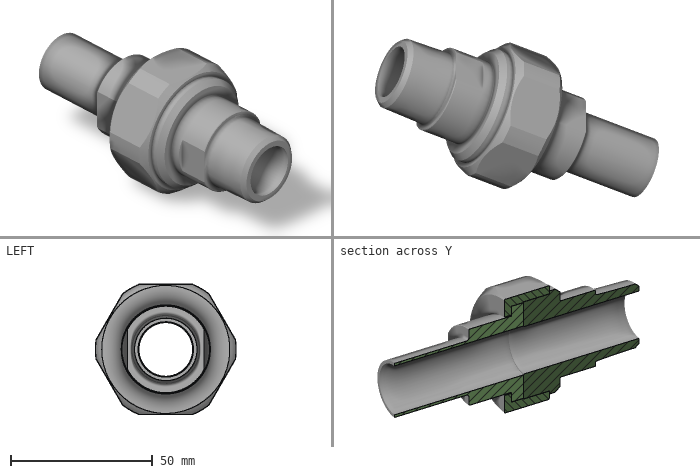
import cadquery as cq
import math


tail_shoulder_x = 31.1
tail_flat_end_x = 42.9
nut_start_x = 45.9
nut_end_x = 65.0
flange_chamfer_x = 67.3
flange_end_x = 69.5
adapter_flat_start_x = 73.5
adapter_shoulder_x = 84.3
thread_chamfer_x = 100.9
overall_length = 102.5

tube_radius = 22.0 / 2
tail_bore_radius = 19.6 / 2
hub_radius = 31.0 / 2
tail_flats = 27.0
tail_fillet = 0.9
edge_chamfer = 0.2

nut_flats = 46.0
nut_corner_radius = 49.7 / 2
nut_face_radius = 45.2 / 2
nut_chamfer = nut_corner_radius - nut_face_radius
nut_hole_radius = 31.5 / 2
nut_cavity_radius = 39.0 / 2
nut_lip = 3.1
cavity_start_x = nut_start_x + nut_lip

joint_x = cavity_start_x + 5.1
adapter_bore_radius = 19.0 / 2
flange_radius = 41.8 / 2
flange_face_radius = 38.0 / 2
flange_fillet = 0.3
adapter_flats = 28.1
adapter_flat_ramp = 0.4
shoulder_fillet = 0.7
thread_start_radius = 26.9 / 2
thread_end_radius = 25.9 / 2
thread_tip_radius = 23.2 / 2


def revolve_about_x(profile):
    """Turn a closed (x, radius) profile about the X axis."""
    return profile.close().revolve(360, (0, 0, 0), (1, 0, 0))


def cylinder(start_x, end_x, radius):
    return cq.Workplane("YZ").workplane(offset=start_x).circle(radius).extrude(end_x - start_x)


def concave_middle(center_x, center_radius, fillet, direction):
    """Middle point of a concave fillet arc; direction is +1 or -1 for the side of the wall along X."""
    reach = fillet * math.cos(math.pi / 4)
    return (center_x + direction * reach, center_radius - reach)


def cut_wrench_flats(body, start_x, end_x, start_flats, end_flats):
    """Cut two opposite Y faces; the across-flats width may change from start to end."""
    outside = 2 * hub_radius
    for side in (1, -1):
        cutter = (
            cq.Workplane("XY").workplane(offset=-outside)
            .moveTo(start_x, side * start_flats / 2)
            .lineTo(end_x, side * end_flats / 2)
            .lineTo(end_x, side * outside)
            .lineTo(start_x, side * outside)
            .close()
            .extrude(2 * outside)
        )
        body = body.cut(cutter)
    return body


def make_tail():
    fillet_x = tail_shoulder_x - tail_fillet
    fillet_top = tube_radius + tail_fillet
    profile = (
        cq.Workplane("XY")
        .moveTo(0, tail_bore_radius)
        .lineTo(0, tube_radius)
        .lineTo(fillet_x, tube_radius)
        .threePointArc(
            concave_middle(fillet_x, fillet_top, tail_fillet, 1),
            (tail_shoulder_x, fillet_top),
        )
        .lineTo(tail_shoulder_x, hub_radius - edge_chamfer)
        .lineTo(tail_shoulder_x + edge_chamfer, hub_radius)
        .lineTo(cavity_start_x, hub_radius)
        .lineTo(cavity_start_x, nut_cavity_radius)
        .lineTo(joint_x, nut_cavity_radius)
        .lineTo(joint_x, tail_bore_radius)
    )
    tail = revolve_about_x(profile)
    tail = cut_wrench_flats(tail, tail_shoulder_x, tail_flat_end_x, tail_flats, tail_flats)
    runout_x = tail_flat_end_x + hub_radius - tail_flats / 2
    return cut_wrench_flats(tail, tail_flat_end_x, runout_x, tail_flats, 2 * hub_radius)


def make_nut():
    hexagon = (
        cq.Workplane("YZ").workplane(offset=nut_start_x)
        .polygon(6, nut_flats / math.cos(math.pi / 6))
        .extrude(nut_end_x - nut_start_x)
    )
    envelope = cylinder(nut_start_x, nut_end_x, nut_corner_radius).edges().chamfer(nut_chamfer)
    lip_hole = cylinder(nut_start_x, cavity_start_x, nut_hole_radius)
    cavity = cylinder(cavity_start_x, nut_end_x, nut_cavity_radius)
    return hexagon.intersect(envelope).cut(lip_hole).cut(cavity)


def make_adapter():
    flange_fillet_x = flange_end_x + flange_fillet
    flange_fillet_top = hub_radius + flange_fillet
    thread_start_x = adapter_shoulder_x + shoulder_fillet
    shoulder_fillet_top = thread_start_radius + shoulder_fillet
    profile = (
        cq.Workplane("XY")
        .moveTo(joint_x, adapter_bore_radius)
        .lineTo(joint_x, nut_cavity_radius)
        .lineTo(nut_end_x, nut_cavity_radius)
        .lineTo(nut_end_x, flange_radius)
        .lineTo(flange_chamfer_x, flange_radius)
        .lineTo(flange_end_x, flange_face_radius)
        .lineTo(flange_end_x, flange_fillet_top)
        .threePointArc(
            concave_middle(flange_fillet_x, flange_fillet_top, flange_fillet, -1),
            (flange_fillet_x, hub_radius),
        )
        .lineTo(adapter_shoulder_x - edge_chamfer, hub_radius)
        .lineTo(adapter_shoulder_x, hub_radius - edge_chamfer)
        .lineTo(adapter_shoulder_x, shoulder_fillet_top)
        .threePointArc(
            concave_middle(thread_start_x, shoulder_fillet_top, shoulder_fillet, -1),
            (thread_start_x, thread_start_radius),
        )
        .lineTo(thread_chamfer_x, thread_end_radius)
        .lineTo(overall_length, thread_tip_radius)
        .lineTo(overall_length, adapter_bore_radius)
    )
    adapter = revolve_about_x(profile)
    ramp_start_x = adapter_flat_start_x - adapter_flat_ramp
    adapter = cut_wrench_flats(
        adapter, ramp_start_x, adapter_flat_start_x, 2 * hub_radius, adapter_flats
    )
    return cut_wrench_flats(
        adapter, adapter_flat_start_x, adapter_shoulder_x, adapter_flats, adapter_flats
    )


tail = make_tail()
nut = make_nut()
adapter = make_adapter()

result = cq.Compound.makeCompound([tail.val(), nut.val(), adapter.val()])